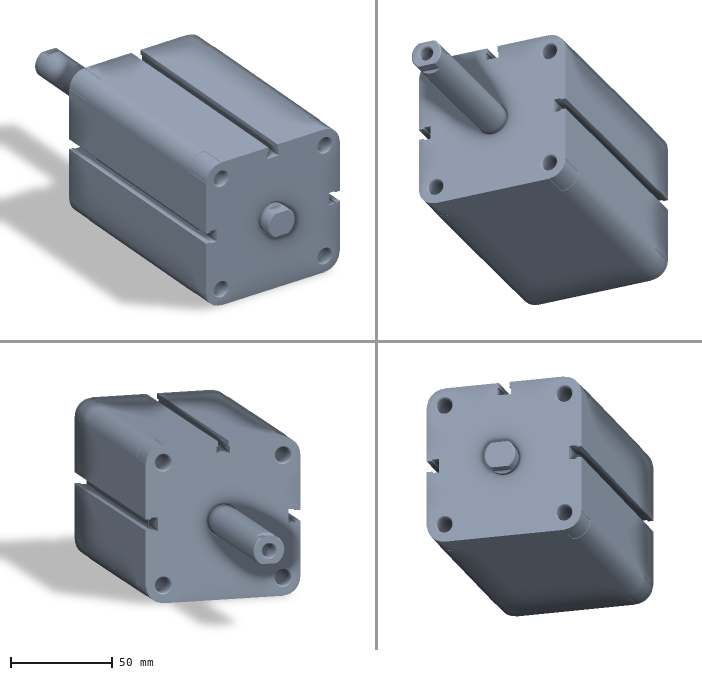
import cadquery as cq
import math

overall_length = 205.0
side = 80.0
body_length = 120.0
cap_length = 15.0
rod_rear_reach = 7.8

corner_size = 9.0
tube_corner_radius = corner_size
cap_corner_radius = 8.8

bolt_spacing = 62.0
bolt_hole_diameter = 8.0

edge_chamfer = 0.51

slot_mouth_width = 5.5
slot_inner_width = 7.0
slot_lip = 2.7
cap_slot_depth = 6.4
tube_slot_depth = 5.7

rod_diameter = 16.0
flat_distance = 13.0
flat_length = 5.7
flat_runout = 0.6
tap_diameter = 7.0
tap_depth = 20.0
drill_tip_angle = 118.0

tube_length = body_length - 2 * cap_length
rear_cap_start = cap_length + tube_length
rod_end = body_length + rod_rear_reach
rod_start = rod_end - overall_length


def rounded_block(start, length, corner_radius):
    """Square block along X with a round in each corner, centred where the flat sides end."""
    flat_width = side - 2 * corner_size
    plane = cq.Workplane("YZ", origin=(start, 0, 0))
    wide = plane.rect(side, flat_width).extrude(length)
    tall = plane.rect(flat_width, side).extrude(length)
    corners = (
        plane.rect(flat_width, flat_width, forConstruction=True)
        .vertices()
        .circle(corner_radius)
        .extrude(length)
    )
    return wide.union(tall).union(corners)


def bolt_holes(start, length):
    """Four straight hole cutters near the corners."""
    return (
        cq.Workplane("YZ", origin=(start, 0, 0))
        .rect(bolt_spacing, bolt_spacing, forConstruction=True)
        .vertices()
        .circle(bolt_hole_diameter / 2)
        .extrude(length)
    )


def rod_hole(start, length):
    """Cutter for the hole that the rod fills."""
    return cq.Workplane("YZ", origin=(start, 0, 0)).circle(rod_diameter / 2).extrude(length)


def t_slot(start, length, depth):
    """T-shaped channel cutter opening through the +Z side, running along X."""
    mouth = cq.Workplane("XY").box(length, slot_mouth_width, depth, centered=(False, True, False))
    channel = cq.Workplane("XY").box(
        length, slot_inner_width, depth - slot_lip, centered=(False, True, False)
    )
    return mouth.union(channel).translate((start, 0, side / 2 - depth))


def housing_section(start, length, corner_radius, slot_depth):
    """Block with bolt holes, the rod hole and T-slots on the two Y sides and the top."""
    section = rounded_block(start, length, corner_radius)
    section = section.cut(bolt_holes(start, length))
    section = section.cut(rod_hole(start, length))
    for angle in (-90, 0, 90):
        slot = t_slot(start, length, slot_depth).rotate((0, 0, 0), (1, 0, 0), angle)
        section = section.cut(slot)
    return section


def end_cap(start, outer_face):
    """Housing section whose bolt holes and rod hole are chamfered at the outer face."""
    cap = housing_section(start, cap_length, cap_corner_radius, cap_slot_depth)
    hole_mouths = [edge for wire in cap.faces(outer_face).val().innerWires() for edge in wire.Edges()]
    return cap.newObject([cap.val().chamfer(edge_chamfer, None, hole_mouths)])


def wrench_flats(end_face):
    """Cutters that mill flats above and below one rod end, with a slope where each flat stops."""
    floor = flat_distance / 2
    crest = rod_diameter / 2
    slope_end = flat_length + flat_runout
    upper = (
        cq.Workplane("XZ", origin=(end_face, 0, 0))
        .moveTo(-flat_length, floor)
        .lineTo(flat_length, floor)
        .lineTo(slope_end, crest)
        .lineTo(slope_end, rod_diameter)
        .lineTo(-slope_end, rod_diameter)
        .lineTo(-slope_end, crest)
        .close()
        .extrude(rod_diameter / 2, both=True)
    )
    return upper.union(upper.mirror("XY"))


def tapped_hole():
    """Cutter for the blind hole in the rod's front end: chamfered mouth and conical bottom."""
    radius = tap_diameter / 2
    tip = radius / math.tan(math.radians(drill_tip_angle / 2))
    return (
        cq.Workplane("XY", origin=(rod_start, 0, 0))
        .moveTo(0, 0)
        .lineTo(0, radius + edge_chamfer)
        .lineTo(edge_chamfer, radius)
        .lineTo(tap_depth, radius)
        .lineTo(tap_depth + tip, 0)
        .close()
        .revolve(360, (0, 0, 0), (1, 0, 0))
    )


def piston_rod():
    """Round rod with chamfered ends, wrench flats at both ends and a tapped front end."""
    rod = cq.Workplane("YZ", origin=(rod_start, 0, 0)).circle(rod_diameter / 2).extrude(overall_length)
    rod = rod.faces("<X or >X").chamfer(edge_chamfer)
    for end_face in (rod_start, rod_end):
        rod = rod.cut(wrench_flats(end_face))
    return rod.cut(tapped_hole())


front_cap = end_cap(0, "<X")
tube = housing_section(cap_length, tube_length, tube_corner_radius, tube_slot_depth)
rear_cap = end_cap(rear_cap_start, ">X")
rod = piston_rod()

result = cq.Compound.makeCompound([front_cap.val(), tube.val(), rear_cap.val(), rod.val()])